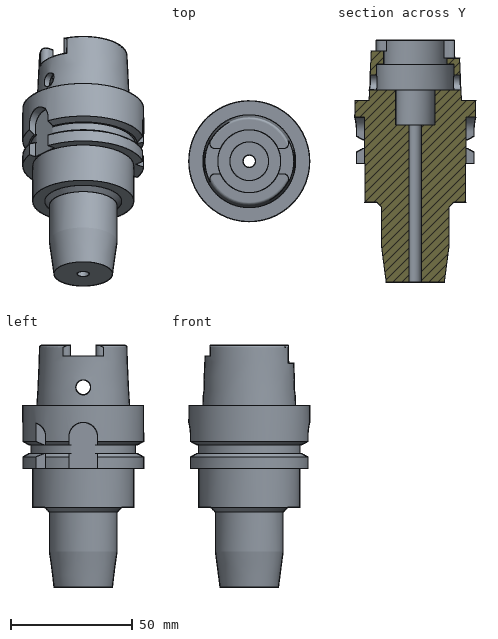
import cadquery as cq
import math

total_length = 100.0
nose_cone_top = 14.6
neck_top = 31.0
body_bottom = 33.0
flange_bottom = 49.0
flange_top = 75.1

nose_tip_radius = 12.1
neck_radius = 14.0
neck_cone_radius = 15.9
body_radius = 20.9
flange_radius = 25.0
shank_base_radius = 19.2
shank_top_radius = 18.1
shank_rim_round = 1.0

groove_radius = 21.6
groove_low = 53.8
groove_high = 60.3
groove_side_rise = 1.5
groove_ledge = 0.8

mouth_radius = 13.0
undercut_radius = 16.0
undercut_top = 90.0
undercut_floor = 79.5
pocket_radius = 8.0
pocket_floor = 65.0
coolant_radius = 2.5

drive_slot_width = 10.4
shallow_slot_depth = 4.4
deep_slot_depth = 7.4
drive_corner_round = 2.2

cross_hole_radius = 3.0
cross_hole_height = 82.6

keyway_radius = 5.9
keyway_center_height = 62.2
keyway_floor = 21.0
notch_corner = 15.5


def outer_body():
    """Revolved outside shape with the groove and the rounded shank rim."""
    round_drop = shank_rim_round * math.sqrt(0.5)
    rim_inner = shank_top_radius - shank_rim_round
    rim_base = total_length - shank_rim_round
    profile = (
        cq.Workplane("XZ")
        .moveTo(0, 0)
        .lineTo(nose_tip_radius, 0)
        .lineTo(neck_radius, nose_cone_top)
        .lineTo(neck_radius, neck_top)
        .lineTo(neck_cone_radius, body_bottom)
        .lineTo(body_radius, body_bottom)
        .lineTo(body_radius, flange_bottom)
        .lineTo(flange_radius, flange_bottom)
        .lineTo(flange_radius, groove_low)
        .lineTo(groove_radius + groove_ledge, groove_low + groove_side_rise)
        .lineTo(groove_radius, groove_low + groove_side_rise)
        .lineTo(groove_radius, groove_high - groove_side_rise)
        .lineTo(groove_radius + groove_ledge, groove_high - groove_side_rise)
        .lineTo(flange_radius, groove_high)
        .lineTo(flange_radius, flange_top)
        .lineTo(shank_base_radius, flange_top)
        .lineTo(shank_top_radius, rim_base)
        .threePointArc((rim_inner + round_drop, rim_base + round_drop), (rim_inner, total_length))
        .lineTo(0, total_length)
        .close()
    )
    return profile.revolve(360, (0, 0, 0), (0, 1, 0))


def cylinder(radius, bottom, top):
    return cq.Workplane("XY").workplane(offset=bottom).circle(radius).extrude(top - bottom)


def bore():
    return (
        cylinder(coolant_radius, 0, total_length)
        .union(cylinder(pocket_radius, pocket_floor, total_length))
        .union(cylinder(undercut_radius, undercut_floor, undercut_top))
        .union(cylinder(mouth_radius, undercut_floor, total_length))
    )


def drive_slot(side, depth):
    """Slot through the rim on one X side, flaring outward around rounded finger corners."""
    half_width = drive_slot_width / 2
    corner_y = half_width + drive_corner_round
    center_distance = shank_top_radius - drive_corner_round
    corner_x = math.sqrt(center_distance**2 - corner_y**2)
    touch_scale = shank_top_radius / center_distance
    touch = (side * corner_x * touch_scale, corner_y * touch_scale)
    mid_angle = (math.atan2(corner_y, corner_x) - math.pi / 2) / 2
    middle = (
        side * (corner_x + drive_corner_round * math.cos(mid_angle)),
        corner_y + drive_corner_round * math.sin(mid_angle),
    )
    start = (side * corner_x, half_width)
    outside = side * flange_radius
    return (
        cq.Workplane("XY")
        .workplane(offset=total_length - depth)
        .moveTo(0, -half_width)
        .lineTo(start[0], -start[1])
        .threePointArc((middle[0], -middle[1]), (touch[0], -touch[1]))
        .lineTo(outside, -touch[1])
        .lineTo(outside, touch[1])
        .lineTo(*touch)
        .threePointArc(middle, start)
        .lineTo(0, half_width)
        .close()
        .extrude(depth)
    )


def keyway(side, floor, center_y):
    """Round-topped slot, open at the lower flange face, cut inward in X to a flat floor."""
    return (
        cq.Workplane("YZ")
        .workplane(offset=side * floor)
        .moveTo(center_y - keyway_radius, flange_bottom)
        .lineTo(center_y - keyway_radius, keyway_center_height)
        .threePointArc(
            (center_y, keyway_center_height + keyway_radius),
            (center_y + keyway_radius, keyway_center_height),
        )
        .lineTo(center_y + keyway_radius, flange_bottom)
        .close()
        .extrude(side * flange_radius)
    )


cross_hole = (
    cq.Workplane("YZ")
    .center(0, cross_hole_height)
    .circle(cross_hole_radius)
    .extrude(flange_radius, both=True)
)

result = outer_body().cut(bore()).cut(cross_hole)
for side, slot_depth in ((-1, shallow_slot_depth), (1, deep_slot_depth)):
    result = result.cut(drive_slot(side, slot_depth))
    result = result.cut(keyway(side, keyway_floor, 0))
result = result.cut(keyway(-1, notch_corner, notch_corner + keyway_radius))